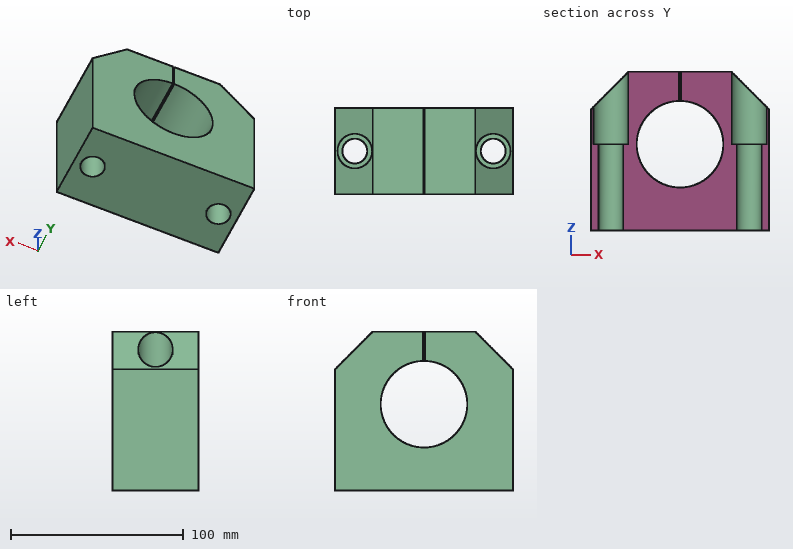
import cadquery as cq

width = 103.0
thickness = 50.0
height = 92.0
corner_cut = 21.9

bore_diameter = 50.0
bore_height = 50.0
slit_width = 1.0

hole_spacing = 80.0
hole_diameter = 14.2
counterbore_diameter = 20.0
counterbore_floor = 50.0


def make_block():
    block = cq.Workplane("XY").box(width, thickness, height, centered=(True, True, False))
    return block.edges("|Y and >Z").chamfer(corner_cut)


def make_bore_and_slit():
    bore = (
        cq.Workplane("XZ")
        .center(0, bore_height)
        .circle(bore_diameter / 2)
        .extrude(thickness / 2, both=True)
    )
    slit = (
        cq.Workplane("XY")
        .workplane(offset=bore_height)
        .rect(slit_width, thickness)
        .extrude(height - bore_height)
    )
    return bore.union(slit)


def make_mounting_holes():
    centers = [(-hole_spacing / 2, 0), (hole_spacing / 2, 0)]
    holes = cq.Workplane("XY").pushPoints(centers).circle(hole_diameter / 2).extrude(height)
    counterbores = (
        cq.Workplane("XY")
        .workplane(offset=counterbore_floor)
        .pushPoints(centers)
        .circle(counterbore_diameter / 2)
        .extrude(height - counterbore_floor)
    )
    return holes.union(counterbores)


result = make_block().cut(make_bore_and_slit()).cut(make_mounting_holes())